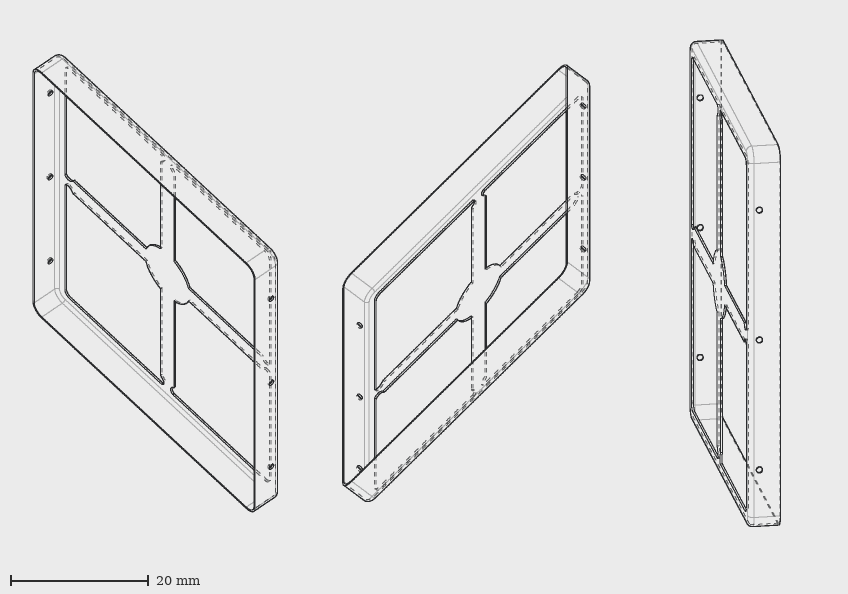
import cadquery as cq
import math

WIDTH = 49.7
HEIGHT = 58.5
DEPTH = 4.7
WALL = 0.3
FLOOR = 0.3
CORNER_RADIUS = 2.0
BACK_ROUND = 0.8
INNER_ROUND = BACK_ROUND - WALL

BORDER = 2.0
OPENING_WIDTH = WIDTH - 2 * BORDER
OPENING_HEIGHT = HEIGHT - 2 * BORDER
OPENING_CORNER_RADIUS = 1.0
HUB_DIAMETER = 10.0
STRUT_WIDTH = 3.0
NECK_WIDTH = 1.5
NECK_RADIUS = 0.85
NECK_MARGIN = 1.9

PIN_DIAMETER = 0.9
PIN_SPACING = 20.0
PIN_FROM_BACK = 1.6
PIN_ROWS = (-1, 0, 1)

BACK_Y = DEPTH / 2
FLOOR_Y = BACK_Y - FLOOR
BACK_PLANE = cq.Workplane("XZ", origin=(0, BACK_Y, 0))


def make_tray():
    """Rounded rectangular tray with a rounded back edge and a matching inner fillet."""
    outside = BACK_PLANE.rect(WIDTH, HEIGHT).extrude(DEPTH)
    outside = outside.edges("|Y").fillet(CORNER_RADIUS)
    outside = outside.faces(">Y").edges().fillet(BACK_ROUND)
    cavity = (
        cq.Workplane("XZ", origin=(0, FLOOR_Y, 0))
        .rect(WIDTH - 2 * WALL, HEIGHT - 2 * WALL)
        .extrude(DEPTH - FLOOR)
    )
    cavity = cavity.edges("|Y").fillet(CORNER_RADIUS - WALL)
    cavity = cavity.faces(">Y").edges().fillet(INNER_ROUND)
    return outside.cut(cavity)


def make_strut(outer_length):
    """Strut along Z, necked at both ends, for a tray side of the given outer length."""
    half_strut = STRUT_WIDTH / 2
    half_neck = NECK_WIDTH / 2
    root_z = outer_length / 2 - NECK_MARGIN
    center_x = half_neck + NECK_RADIUS
    center_z = root_z - NECK_RADIUS
    diagonal = NECK_RADIUS * math.sqrt(0.5)
    tangent_x = center_x - diagonal
    tangent_z = center_z - diagonal
    shoulder_z = tangent_z - (half_strut - tangent_x)
    quarter = (
        BACK_PLANE.moveTo(0, 0)
        .lineTo(half_strut, 0)
        .lineTo(half_strut, shoulder_z)
        .lineTo(tangent_x, tangent_z)
        .threePointArc((half_neck, center_z), (center_x, root_z))
        .lineTo(0, root_z)
        .close()
        .extrude(FLOOR)
    )
    half = quarter.union(quarter.mirror("YZ"))
    return half.union(half.mirror("XY"))


def make_floor_opening():
    """Rounded opening less the cross of struts and the central hub."""
    opening = BACK_PLANE.rect(OPENING_WIDTH, OPENING_HEIGHT).extrude(FLOOR)
    opening = opening.edges("|Y").fillet(OPENING_CORNER_RADIUS)
    upright = make_strut(HEIGHT)
    crossbar = make_strut(WIDTH).rotate((0, 0, 0), (0, 1, 0), 90)
    hub = BACK_PLANE.circle(HUB_DIAMETER / 2).extrude(FLOOR)
    return opening.cut(upright).cut(crossbar).cut(hub)


def make_pin_holes():
    """Row of pins along Z, each running through both side walls."""
    pin_y = BACK_Y - PIN_FROM_BACK
    positions = [(pin_y, row * PIN_SPACING) for row in PIN_ROWS]
    return (
        cq.Workplane("YZ")
        .pushPoints(positions)
        .circle(PIN_DIAMETER / 2)
        .extrude(WIDTH, both=True)
    )


result = make_tray().cut(make_floor_opening()).cut(make_pin_holes())